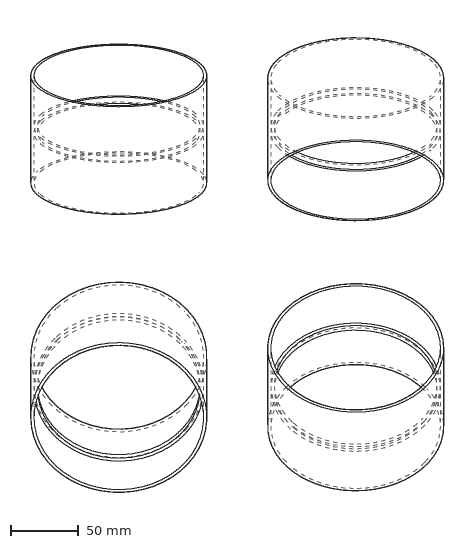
import cadquery as cq

outer_diameter = 130.0
socket_diameter = 125.0
stop_diameter = 120.0
length = 85.0
socket_depth = 40.0


def cylinder(diameter, height, base_z):
    """Solid cylinder on the Z axis, rising from base_z."""
    return cq.Workplane("XY").workplane(offset=base_z).circle(diameter / 2).extrude(height)


sleeve = cylinder(outer_diameter, length, 0)

result = sleeve.cut(cylinder(stop_diameter, length, 0))

for socket_base in (0, length - socket_depth):
    result = result.cut(cylinder(socket_diameter, socket_depth, socket_base))